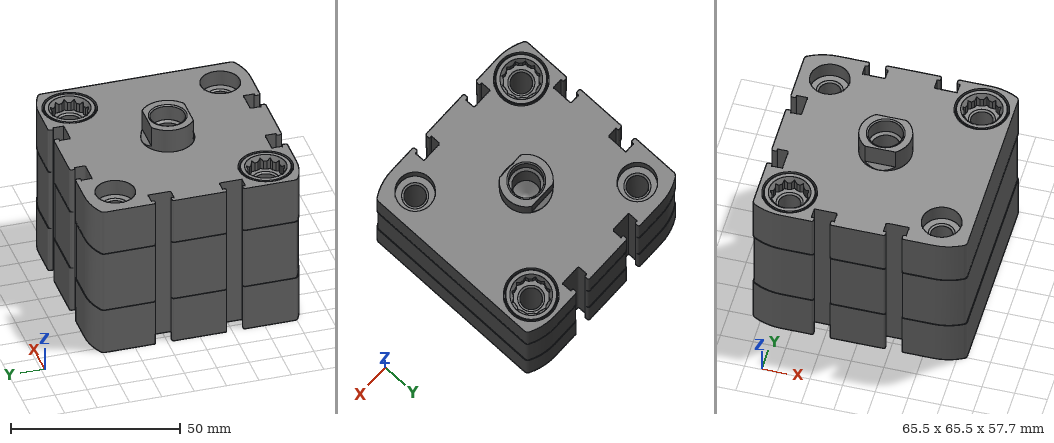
import cadquery as cq
import math

cap_width = 65.5
tube_inset = 0.25
cap_height = 15.0
tube_height = 20.0
housing_height = 2 * cap_height + tube_height

hole_offset = 23.25
hole_recess_diameter = 12.0
hole_recess_depth = 5.0
thread_hole_diameter = 6.65
thread_countersink_diameter = 8.0

corner_arc_radius = 18.0
corner_fillet_radius = 1.5

slot_offset = 11.0
slot_depth = 5.0
slot_opening = 5.1
slot_width = 7.0
slot_lip = 1.65
slot_lip_round = 0.6
slot_inner_lip_round = 0.35
slot_floor_round = 0.5

screw_pocket_diameter = 16.4
screw_head_diameter = 15.5
screw_edge_chamfer = 0.25
socket_depth = 4.5
socket_mouth_diameter = 12.6
socket_lead_in_depth = 1.65
socket_tip_diameter = 11.6
socket_root_diameter = 10.5
socket_points = 12
socket_root_share = 0.4

rod_diameter = 16.0
rod_projection = 7.7
rod_embedded_length = 20.0
rod_across_flats = 13.0
flat_run_out_top = 1.1
flat_run_out_bottom = 0.1
rod_mouth_diameter = 11.5
rod_bore_diameter = 10.5
rod_bore_depth = 5.0
rod_thread_diameter = 8.57
rod_thread_depth = 17.0
drill_point_angle = 118.0

countersink_angle = 120.0

corner_signs = [(x, y) for x in (-1, 1) for y in (-1, 1)]


def cylinder(diameter, bottom, top):
    return cq.Workplane("XY").workplane(offset=bottom).circle(diameter / 2).extrude(top - bottom)


def cone(bottom_diameter, bottom, top_diameter, top):
    """Truncated cone about the Z axis."""
    solid = cq.Solid.makeCone(bottom_diameter / 2, top_diameter / 2, top - bottom)
    return cq.Workplane(solid.translate(cq.Vector(0, 0, bottom)))


def point_height(diameter, included_angle):
    """Height of a cone with the given base diameter and included angle."""
    return diameter / 2 / math.tan(math.radians(included_angle / 2))


def arc_drop(radius, reach):
    """Distance an arc falls away from its tangent line."""
    return radius - math.sqrt(radius**2 - reach**2)


def housing_section(inset, bottom, height):
    """Slice of the block with its four arched corners, set in from the cap outline."""
    half = cap_width / 2 - inset
    radius = corner_arc_radius - inset
    reach = half - hole_offset
    block = cq.Workplane("XY").box(2 * half, 2 * half, height, centered=(True, True, False))
    for side_x, side_y in corner_signs:
        corner_waste = (
            cq.Workplane("XY")
            .moveTo(side_x * hole_offset, side_y * half)
            .threePointArc(
                (side_x * (hole_offset + reach / 2), side_y * (half - arc_drop(radius, reach / 2))),
                (side_x * half, side_y * (half - arc_drop(radius, reach))),
            )
            .lineTo(side_x * half, side_y * half)
            .close()
            .extrude(height)
        )
        block = block.cut(corner_waste)
    block = block.edges("|Z and (<X or >X)").fillet(corner_fillet_radius - inset)
    return block.translate((0, 0, bottom))


def round_corner(profile, start, corner, end):
    """Draw a quarter circle in place of a square corner."""
    pull = 1 - math.sqrt(0.5)
    middle = tuple(c + pull * (s + e - 2 * c) for s, c, e in zip(start, corner, end))
    return profile.lineTo(*start).threePointArc(middle, end)


def slot_cutter(inset, bottom, height):
    """T-slot opening toward +Y at positive X, with rounded lips and one rounded floor corner."""
    face = cap_width / 2 - inset
    floor = cap_width / 2 - slot_depth
    lip = cap_width / 2 - slot_lip
    mouth = slot_opening / 2
    chamber = slot_width / 2
    outer = slot_lip_round
    inner = slot_inner_lip_round
    corner = slot_floor_round

    profile = cq.Workplane("XY").moveTo(0, face)
    profile = round_corner(profile, (-mouth - outer, face), (-mouth, face), (-mouth, face - outer))
    profile = round_corner(profile, (-mouth, lip + inner), (-mouth, lip), (-mouth - inner, lip))
    profile = profile.lineTo(-chamber, lip)
    profile = round_corner(profile, (-chamber, floor + corner), (-chamber, floor), (corner - chamber, floor))
    profile = profile.lineTo(chamber, floor).lineTo(chamber, lip)
    profile = round_corner(profile, (mouth + inner, lip), (mouth, lip), (mouth, lip + inner))
    profile = round_corner(profile, (mouth, face - outer), (mouth, face), (mouth + outer, face))
    return profile.close().extrude(height).translate((slot_offset, 0, bottom))


def slotted_section(inset, bottom, height):
    """Housing slice with slot pairs in the -Y, +Y and -X faces."""
    section = housing_section(inset, bottom, height)
    slot = slot_cutter(inset, bottom, height)
    slot_pair = slot.union(slot.mirror("YZ"))
    for angle in (0, 90, 180):
        section = section.cut(slot_pair.rotate((0, 0, 0), (0, 0, 1), angle))
    return section


def thread_hole(recess_depth):
    """Through hole with a countersink at the recess floor."""
    floor = housing_height - recess_depth
    countersink_depth = point_height(thread_countersink_diameter - thread_hole_diameter, countersink_angle)
    hole = cylinder(thread_hole_diameter, 0, floor)
    return hole.union(cone(thread_hole_diameter, floor - countersink_depth, thread_countersink_diameter, floor))


def plain_corner_hole():
    recess = cylinder(hole_recess_diameter, housing_height - hole_recess_depth, housing_height)
    return thread_hole(hole_recess_depth).union(recess)


def socket_outline():
    """Round root stretches alternating with pointed notches."""
    root = socket_root_diameter / 2
    tip = socket_tip_diameter / 2
    pitch = 2 * math.pi / socket_points
    half_root = socket_root_share * pitch / 2

    def polar(radius, angle):
        return (radius * math.cos(angle), radius * math.sin(angle))

    outline = cq.Workplane("XY").moveTo(*polar(root, pitch / 2 - half_root))
    for point in range(socket_points):
        root_middle = (point + 0.5) * pitch
        outline = outline.threePointArc(polar(root, root_middle), polar(root, root_middle + half_root))
        outline = outline.lineTo(*polar(tip, root_middle + pitch / 2))
        if point < socket_points - 1:
            outline = outline.lineTo(*polar(root, root_middle + pitch - half_root))
    return outline.close()


def screw_corner_hole():
    """Thread hole, multi-point socket and the ring gap around the chamfered screw head."""
    top = housing_height
    floor = top - socket_depth
    shoulder = top - screw_edge_chamfer
    head = cylinder(screw_head_diameter, floor, shoulder)
    head = head.union(cone(screw_head_diameter, shoulder, screw_head_diameter - 2 * screw_edge_chamfer, top))
    gap = cylinder(screw_pocket_diameter, floor, top).cut(head)

    socket = socket_outline().extrude(socket_depth).translate((0, 0, floor))
    lead_in = cone(socket_root_diameter, top - socket_lead_in_depth, socket_mouth_diameter, top)
    return thread_hole(socket_depth).union(socket).union(lead_in).union(gap)


def make_housing():
    housing = slotted_section(0, 0, cap_height)
    housing = housing.union(slotted_section(tube_inset, cap_height, tube_height))
    housing = housing.union(slotted_section(0, cap_height + tube_height, cap_height))
    for side_x, side_y in corner_signs:
        hole = screw_corner_hole() if side_x == side_y else plain_corner_hole()
        housing = housing.cut(hole.translate((side_x * hole_offset, side_y * hole_offset, 0)))
    return housing.cut(cylinder(rod_diameter, housing_height - rod_embedded_length, housing_height))


def rod_flat_cutter():
    """Waste beside the +Y wrench flat, with a sloping run-out at its foot."""
    flat = rod_across_flats / 2
    edge = rod_diameter / 2
    profile = [
        (flat, housing_height + rod_projection),
        (flat, housing_height + flat_run_out_top),
        (edge, housing_height + flat_run_out_bottom),
        (edge, housing_height + rod_projection),
    ]
    return cq.Workplane("YZ").polyline(profile).close().extrude(rod_diameter / 2, both=True)


def make_piston_rod():
    top = housing_height + rod_projection
    rod = cylinder(rod_diameter, housing_height - rod_embedded_length, top)
    flat_cutter = rod_flat_cutter()
    rod = rod.cut(flat_cutter).cut(flat_cutter.mirror("XZ"))

    mouth_depth = point_height(rod_mouth_diameter - rod_bore_diameter, countersink_angle)
    bore_floor = top - rod_bore_depth
    countersink_depth = point_height(rod_bore_diameter - rod_thread_diameter, countersink_angle)
    thread_end = top - rod_thread_depth
    drill_point = thread_end - point_height(rod_thread_diameter, drill_point_angle)
    rod = rod.cut(cone(rod_bore_diameter, top - mouth_depth, rod_mouth_diameter, top))
    rod = rod.cut(cylinder(rod_bore_diameter, bore_floor, top))
    rod = rod.cut(cone(rod_thread_diameter, bore_floor - countersink_depth, rod_bore_diameter, bore_floor))
    rod = rod.cut(cylinder(rod_thread_diameter, thread_end, bore_floor))
    return rod.cut(cone(0, drill_point, rod_thread_diameter, thread_end))


housing = make_housing()
piston_rod = make_piston_rod()

result = cq.Compound.makeCompound([*housing.solids().vals(), *piston_rod.solids().vals()])